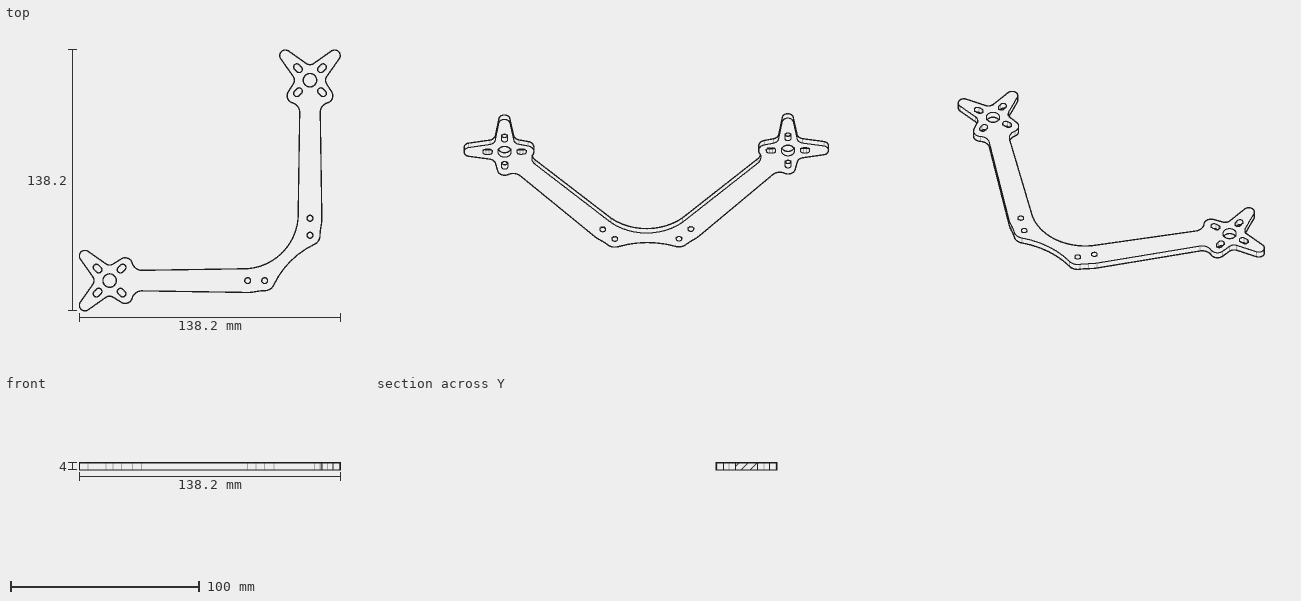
import cadquery as cq
import math


thickness = 4.0
hub_diagonal = 150.0
elbow_x = hub_diagonal / math.sqrt(2)

tip_radius = 3.0
hub_reach = 16.06
tip_offset = hub_reach - tip_radius
hollow_radius = 3.5
hollow_offset = 11.8
lobe_radius = 3.9
lobe_offset = 8.25
neck_fillet = 5.2

hub_bore = 7.0
slot_width = 3.3
slot_length = 5.0
slot_circle_radius = 9.0
slot_count = 4
first_slot_angle = 45.0

neck_half_width = 5.5
arm_end_half_width = 6.35
screw_diameter = 3.0
screw_setback = 24.0
screw_pitch = 9.0
outer_screw_x = elbow_x - screw_setback
inner_screw_x = outer_screw_x - screw_pitch

corner_radius = 5.4
outer_arc_radius = 45.0
inner_arc_radius = 29.0


def point_on(center, radius, angle):
    """Point of a circle at an angle in radians."""
    return (center[0] + radius * math.cos(angle), center[1] + radius * math.sin(angle))


def angle_to(start, end):
    return math.atan2(end[1] - start[1], end[0] - start[0])


def arc_to(path, center, start, end):
    """Add the shorter arc about center that runs from start to end."""
    radius = math.dist(center, start)
    chord_middle = ((start[0] + end[0]) / 2, (start[1] + end[1]) / 2)
    middle = point_on(center, radius, angle_to(center, chord_middle))
    return path.threePointArc(middle, end)


def crossing_tangent(center_a, radius_a, center_b, radius_b, side):
    """Touch points of the line that passes between two circles; side picks one of the two lines."""
    toward_b = angle_to(center_a, center_b)
    swing = side * math.acos((radius_a + radius_b) / math.dist(center_a, center_b))
    touch_a = point_on(center_a, radius_a, toward_b + swing)
    touch_b = point_on(center_b, radius_b, toward_b + swing + math.pi)
    return touch_a, touch_b


def half_arm():
    """Hub and arm on the -Y side of the arm axis."""
    back_hollow = (-hollow_offset, 0)
    tip = (-tip_offset, -tip_offset)
    side_hollow = (0, -hollow_offset)
    lobe = (lobe_offset, -lobe_offset)

    neck_y = -neck_half_width - neck_fillet
    neck_reach = math.sqrt((lobe_radius + neck_fillet) ** 2 - (neck_y + lobe_offset) ** 2)
    neck = (lobe_offset + neck_reach, neck_y)

    hub_back = (hollow_radius - hollow_offset, 0)
    back_end, tip_start = crossing_tangent(back_hollow, hollow_radius, tip, tip_radius, 1)
    tip_end, side_start = crossing_tangent(tip, tip_radius, side_hollow, hollow_radius, -1)
    side_end, lobe_start = crossing_tangent(side_hollow, hollow_radius, lobe, lobe_radius, 1)
    lobe_end = point_on(lobe, lobe_radius, angle_to(lobe, neck))
    arm_start = (neck[0], -neck_half_width)

    path = cq.Workplane("XY").moveTo(*hub_back)
    path = arc_to(path, back_hollow, hub_back, back_end).lineTo(*tip_start)
    path = arc_to(path, tip, tip_start, tip_end).lineTo(*side_start)
    path = arc_to(path, side_hollow, side_start, side_end).lineTo(*lobe_start)
    path = arc_to(path, lobe, lobe_start, lobe_end)
    path = arc_to(path, neck, lobe_end, arm_start)
    path = path.lineTo(inner_screw_x, -arm_end_half_width).lineTo(inner_screw_x, 0)
    return path.close().extrude(thickness)


def half_elbow():
    """Elbow from the end of the arm to the diagonal x + y = elbow_x."""
    arm_bottom = (inner_screw_x, -arm_end_half_width)
    arm_top = (inner_screw_x, arm_end_half_width)
    outer_screw = (outer_screw_x, 0)
    corner_start = (outer_screw_x, -corner_radius)

    step = arm_end_half_width - corner_radius
    step_radius = (screw_pitch ** 2 + step ** 2) / (4 * step)
    step_middle = (inner_screw_x + screw_pitch / 2, -corner_radius - step / 2)
    step_down = (inner_screw_x, step_radius - arm_end_half_width)
    step_up = (outer_screw_x, -corner_radius - step_radius)

    outward = -math.pi / 4
    screw_to_diagonal = screw_setback / math.sqrt(2)
    foot = (outer_screw_x + screw_setback / 2, screw_setback / 2)
    outer_shift = math.sqrt((outer_arc_radius + corner_radius) ** 2 - screw_to_diagonal ** 2)
    outer_center = point_on(foot, outer_shift, outward)
    corner_end = point_on(outer_screw, corner_radius, angle_to(outer_screw, outer_center))
    outer_middle = point_on(outer_center, outer_arc_radius, outward + math.pi)

    half_chord = (elbow_x - sum(arm_top)) / math.sqrt(2)
    chord_middle = point_on(arm_top, half_chord, math.pi / 4)
    inner_shift = math.sqrt(inner_arc_radius ** 2 - half_chord ** 2)
    inner_center = point_on(chord_middle, inner_shift, outward + math.pi)
    inner_middle = point_on(inner_center, inner_arc_radius, outward)

    path = cq.Workplane("XY").moveTo(*arm_bottom)
    path = arc_to(path, step_down, arm_bottom, step_middle)
    path = arc_to(path, step_up, step_middle, corner_start)
    path = arc_to(path, outer_screw, corner_start, corner_end)
    path = arc_to(path, outer_center, corner_end, outer_middle).lineTo(*inner_middle)
    path = arc_to(path, inner_center, inner_middle, arm_top)
    return path.close().extrude(thickness)


def arm_holes():
    """Cutters for the hub bore, the motor slots and the two screw holes of one arm."""
    bore = cq.Workplane("XY").circle(hub_bore / 2).extrude(thickness)
    slots = (
        cq.Workplane("XY")
        .polarArray(slot_circle_radius, first_slot_angle, 360, slot_count)
        .slot2D(slot_length, slot_width)
        .extrude(thickness)
    )
    screws = (
        cq.Workplane("XY")
        .pushPoints([(inner_screw_x, 0), (outer_screw_x, 0)])
        .circle(screw_diameter / 2)
        .extrude(thickness)
    )
    return bore.union(slots).union(screws)


lower_half = half_arm()
arm = lower_half.union(lower_half.mirror("XZ")).union(half_elbow()).cut(arm_holes())
result = arm.union(arm.mirror((1, 1, 0), (elbow_x, 0, 0))).clean()